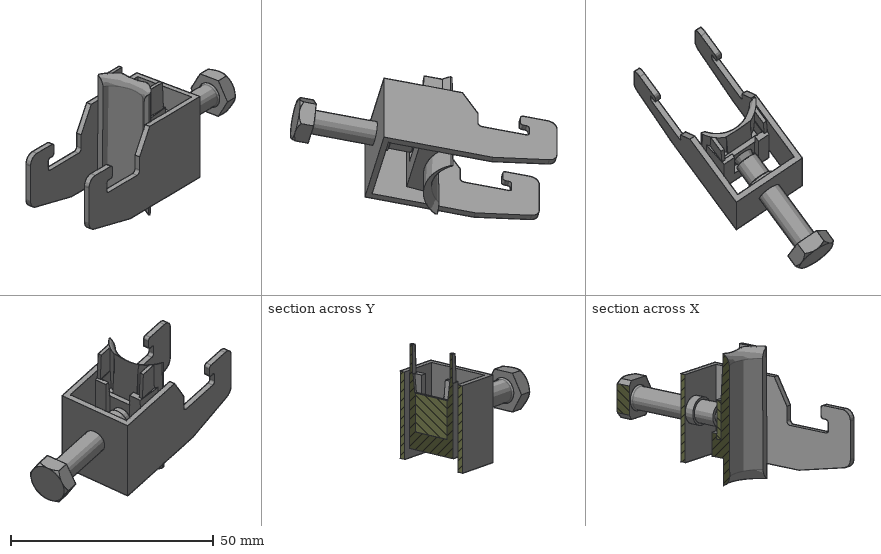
import cadquery as cq
import math


overall_length = 64.25

width = 20.0
sheet = 1.5
bracket_top = 9.75
bracket_bottom = -12.9
bracket_front = -44.1
shoulder_y = -20.0
notch_back = -23.95
notch_shoulder_z = 2.9
notch_floor = -1.85
notch_front = -37.0
hook_top = 5.1
hook_tip_y = -34.75
hook_underside = 1.6
slope_start_y = -27.75
slope_end_z = -9.4
outer_corner_radius = 2.5
notch_radius = 1.0
hook_radius = 0.8
collar_diameter = 7.2
collar_length = 2.4

shank_diameter = 6.0
head_across_flats = 10.0
head_height = 4.0
bolt_top = overall_length + bracket_front
under_head_diameter = 6.6
under_head_length = 0.5
shank_end = -9.7
neck_diameter = 4.2
tip_diameter = 5.35

plate_size = 10.0
plate_back = -11.45
plate_thickness = 1.3
plate_front = plate_back - plate_thickness

saddle_top = 17.3
saddle_bottom = -16.8
saddle_half_width = 8.1
saddle_front = -17.9
outer_radius = 9.25
outer_axis_y = -21.9
bore_radius = 8.2
bore_axis_y = -22.95
flare_length = 2.75
flare_middle_depth = 0.28
flare_middle_height = 0.6
tilt = 0.3

holder_height = bracket_top
holder_back = -9.8
holder_back_half_width = 6.8
holder_front = -16.6
holder_front_half_width = 7.5
channel_half_width_top = 5.8
channel_half_width_bottom = 5.2
slot_width = 7.2
lead_in_depth = 0.5
ramp_top_y = -13.5
tab_inner = 5.9
tab_thickness = 0.95
tab_back_top = -11.1
tab_back_bottom = -10.65
tab_front = -16.05


def box(x_range, y_range, z_range):
    """Box given by its lower and upper limit along each axis."""
    spans = [upper - lower for lower, upper in (x_range, y_range, z_range)]
    corner = (x_range[0], y_range[0], z_range[0])
    return cq.Workplane("XY").box(*spans, centered=False).translate(corner)


def bolt_axis_cylinder(diameter, y_start, y_end):
    """Cylinder on the bolt axis between two Y positions."""
    plane = cq.Workplane("XZ", origin=(0, y_start, 0))
    return plane.circle(diameter / 2).extrude(y_start - y_end)


def upright_cylinder(radius, axis_y, z_start, z_end):
    """Cylinder along Z on the symmetry plane."""
    plane = cq.Workplane("XY", origin=(0, axis_y, z_start))
    return plane.circle(radius).extrude(z_end - z_start)


def side_profile(points, x_start, x_end):
    """Prism along X with an outline given as (Y, Z) points."""
    plane = cq.Workplane("YZ", origin=(x_start, 0, 0))
    return plane.polyline(points).close().extrude(x_end - x_start)


def fillet_along_x(body, y, z, radius):
    """Round the edges along X that pass through the point (Y, Z)."""
    margin = 0.05
    corner = cq.selectors.BoxSelector(
        (-width, y - margin, z - margin), (width, y + margin, z + margin)
    )
    return body.edges("|X").edges(corner).fillet(radius)


def make_bracket():
    outline = [
        (0, bracket_bottom),
        (0, bracket_top),
        (shoulder_y, bracket_top),
        (notch_back, notch_shoulder_z),
        (notch_back, notch_floor),
        (notch_front, notch_floor),
        (notch_front, hook_underside),
        (hook_tip_y, hook_underside),
        (hook_tip_y, hook_top),
        (bracket_front, hook_top),
        (bracket_front, slope_end_z),
        (slope_start_y, bracket_bottom),
    ]
    bracket = side_profile(outline, -width / 2, width / 2)
    rounded_corners = [
        (notch_back, notch_floor, notch_radius),
        (notch_front, notch_floor, hook_radius),
        (notch_front, hook_underside, hook_radius),
        (hook_tip_y, hook_underside, hook_radius),
        (hook_tip_y, hook_top, hook_radius),
        (bracket_front, hook_top, outer_corner_radius),
        (bracket_front, slope_end_z, outer_corner_radius),
    ]
    for y, z, radius in rounded_corners:
        bracket = fillet_along_x(bracket, y, z, radius)
    inner_half_width = width / 2 - sheet
    bracket = bracket.cut(
        box(
            (-inner_half_width, inner_half_width),
            (bracket_front, -sheet),
            (bracket_bottom, bracket_top),
        )
    )
    collar = bolt_axis_cylinder(collar_diameter, -sheet, -sheet - collar_length)
    bolt_hole = bolt_axis_cylinder(shank_diameter, 0, -sheet - collar_length)
    return bracket.union(collar).cut(bolt_hole)


def make_bolt_head():
    """Hexagon with corners at +X and -X and its outer corners bevelled at 45 degrees."""
    across_corners = head_across_flats / math.cos(math.radians(30))
    plane = cq.Workplane("XZ", origin=(0, bolt_top, 0))
    hexagon = plane.polygon(6, across_corners).extrude(head_height)
    bevel = (across_corners - head_across_flats) / 2
    envelope = plane.circle(across_corners / 2).extrude(head_height).faces(">Y").chamfer(bevel)
    return hexagon.intersect(envelope)


def make_bolt(plate):
    """Bolt whose flared tip ends flush on the back face of the tilted plate."""
    head_underside = bolt_top - head_height
    shank_radius = shank_diameter / 2
    half_section = (
        cq.Workplane("XY")
        .moveTo(0, plate_front)
        .lineTo(tip_diameter / 2, plate_back)
        .lineTo(neck_diameter / 2, shank_end)
        .lineTo(shank_radius, shank_end)
        .lineTo(shank_radius, head_underside - under_head_length)
        .tangentArcPoint((under_head_diameter / 2, head_underside), relative=False)
        .lineTo(0, head_underside)
        .close()
    )
    shank = half_section.revolve(360, (0, 0, 0), (0, 1, 0))
    return make_bolt_head().union(shank).cut(plate)


def lean(body):
    """Tilt about the middle of the plate's back face, the lower end moving towards -Y."""
    return body.rotate((0, plate_back, 0), (1, plate_back, 0), -tilt)


def upright_plate():
    half = plate_size / 2
    return box((-half, half), (plate_front, plate_back), (-half, half))


def make_plate():
    return lean(upright_plate())


def make_holder():
    """Block behind the shell, open at the top, with a slot for the bolt and two upright tabs.

    The back wall has a sloping lead-in for the plate on the +X side of the slot only.
    """
    outline = [
        (-holder_back_half_width, holder_back),
        (holder_back_half_width, holder_back),
        (holder_front_half_width, holder_front),
        (-holder_front_half_width, holder_front),
    ]
    plane = cq.Workplane("XY", origin=(0, 0, -holder_height))
    holder = plane.polyline(outline).close().extrude(2 * holder_height)

    half_plate = plate_size / 2
    channel = (
        cq.Workplane("XZ", origin=(0, plate_back, 0))
        .moveTo(-channel_half_width_bottom, half_plate)
        .lineTo(channel_half_width_bottom, half_plate)
        .lineTo(channel_half_width_top, holder_height)
        .lineTo(-channel_half_width_top, holder_height)
        .close()
        .extrude(plate_back - holder_front)
    )
    half_slot = slot_width / 2
    slot = box((-half_slot, half_slot), (plate_back, holder_back), (-half_slot, holder_height))
    lead_in_outline = [
        (plate_back, half_plate),
        (plate_back + lead_in_depth, holder_height),
        (plate_back, holder_height),
    ]
    lead_in = side_profile(lead_in_outline, half_slot, channel_half_width_top)
    holder = holder.cut(channel).cut(slot).cut(lead_in)

    tab_outline = [
        (tab_back_bottom, holder_height),
        (tab_back_top, saddle_top),
        (tab_front, saddle_top),
        (tab_front, holder_height),
    ]
    tab = side_profile(tab_outline, tab_inner, tab_inner + tab_thickness)
    return holder.union(tab).union(tab.mirror("YZ"))


def flatten_back(shell):
    """Sloping back face above the plate, carried by a rib as wide as the slot."""
    slope_start = (plate_front, plate_size / 2)
    slope_end = (ramp_top_y, saddle_top)
    cut_outline = [slope_start, slope_end, (holder_back, saddle_top), (holder_back, plate_size / 2)]
    rib_outline = [slope_start, slope_end, (ramp_top_y, plate_size / 2)]
    shell = shell.cut(side_profile(cut_outline, -saddle_half_width, saddle_half_width))
    return shell.union(side_profile(rib_outline, -slot_width / 2, slot_width / 2))


def make_flare(end_z, tangent_z):
    """Rounded mouth that widens from the bore to the outer surface at one end."""
    shift_y = outer_axis_y - bore_axis_y
    growth = outer_radius - bore_radius
    rise = end_z - tangent_z
    return (
        cq.Workplane("XY", origin=(0, bore_axis_y, tangent_z))
        .circle(bore_radius)
        .workplane(offset=rise * flare_middle_height)
        .center(0, shift_y * flare_middle_depth)
        .circle(bore_radius + growth * flare_middle_depth)
        .workplane(offset=rise * (1 - flare_middle_height))
        .center(0, shift_y * (1 - flare_middle_depth))
        .circle(outer_radius)
        .loft()
    )


def make_saddle():
    shell = upright_cylinder(outer_radius, outer_axis_y, saddle_bottom, saddle_top)
    shell = shell.intersect(
        box(
            (-saddle_half_width, saddle_half_width),
            (saddle_front, 0),
            (saddle_bottom, saddle_top),
        )
    )
    saddle = flatten_back(shell).union(make_holder()).cut(upright_plate())
    saddle = saddle.cut(upright_cylinder(bore_radius, bore_axis_y, saddle_bottom, saddle_top))
    saddle = saddle.cut(make_flare(saddle_top, saddle_top - flare_length))
    saddle = saddle.cut(make_flare(saddle_bottom, saddle_bottom + flare_length))
    return lean(saddle)


bracket = make_bracket()
plate = make_plate()
bolt = make_bolt(plate)
saddle = make_saddle()

result = cq.Compound.makeCompound([bracket.val(), bolt.val(), saddle.val(), plate.val()])